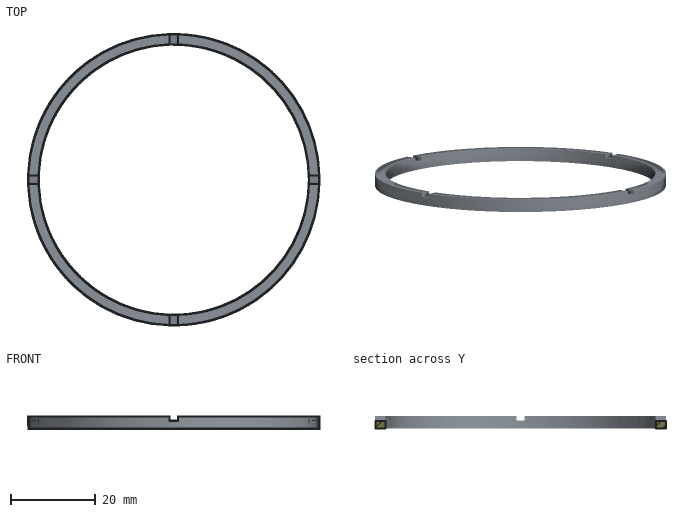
import cadquery as cq

outer_diameter = 69.0
wall = 2.5
height = 3.0

notch_width = 2.0
notch_depth = 1.0

inner_diameter = outer_diameter - 2 * wall


def make_ring():
    """Flat ring standing on the XY plane."""
    return cq.Workplane("XY").circle(outer_diameter / 2).circle(inner_diameter / 2).extrude(height)


def make_notch_bar(length_x, length_y):
    """Bar across the full ring, which cuts two opposite notches."""
    return (
        cq.Workplane("XY")
        .workplane(offset=height - notch_depth)
        .rect(length_x, length_y)
        .extrude(notch_depth)
    )


bar_length = outer_diameter + 2 * wall

result = (
    make_ring()
    .cut(make_notch_bar(bar_length, notch_width))
    .cut(make_notch_bar(notch_width, bar_length))
)